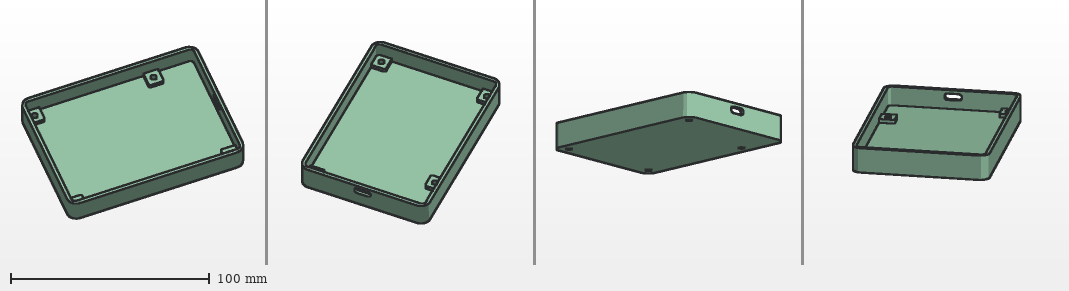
import cadquery as cq

width = 70.0
length = 95.0
height = 13.0
wall = 2.0
floor_thickness = 3.0
outer_corner_radius = 5.0
inner_corner_radius = 2.0

pad_size = 8.0
pad_height = 2.0
pad_corner_radius = 1.0
hole_diameter = 3.0

port_width = 8.9
port_height = 3.4
port_center_z = 9.4

cavity_width = width - 2 * wall
cavity_length = length - 2 * wall

pad_x = (cavity_width - pad_size) / 2
pad_y = (cavity_length - pad_size) / 2
pad_setback = 18.7

pads = [
    (-pad_x, -pad_y, -1, -1),
    (pad_x, -pad_y, 1, -1),
    (pad_x, pad_y, 1, 1),
    (-pad_x, pad_y - pad_setback, -1, 0),
]


def rounded_block(size_x, size_y, size_z, corner_radius, base_z):
    """Block centred on the Z axis with rounded vertical edges, standing on base_z."""
    block = cq.Workplane("XY").workplane(offset=base_z).rect(size_x, size_y).extrude(size_z)
    return block.edges("|Z").fillet(corner_radius)


def make_pad(x, y, wall_side_x, wall_side_y):
    """Pad run into its walls by one wall thickness, so only corners facing the cavity stay rounded."""
    size_x = pad_size + wall * abs(wall_side_x)
    size_y = pad_size + wall * abs(wall_side_y)
    pad = rounded_block(size_x, size_y, floor_thickness + pad_height, pad_corner_radius, 0)
    return pad.translate((x + wall_side_x * wall / 2, y + wall_side_y * wall / 2, 0))


def make_port():
    """Cutter for the port opening, crossing the +Y wall."""
    port = cq.Workplane("XZ").slot2D(port_width, port_height).extrude(wall, both=True)
    return port.translate((0, (length - wall) / 2, port_center_z))


envelope = rounded_block(width, length, height, outer_corner_radius, 0)
cavity = rounded_block(cavity_width, cavity_length, height, inner_corner_radius, floor_thickness)

result = envelope.cut(cavity)
for pad in pads:
    result = result.union(make_pad(*pad).intersect(envelope))

hole_centers = [(x, y) for x, y, _, _ in pads]
holes = cq.Workplane("XY").pushPoints(hole_centers).circle(hole_diameter / 2).extrude(height)
result = result.cut(holes).cut(make_port()).clean()